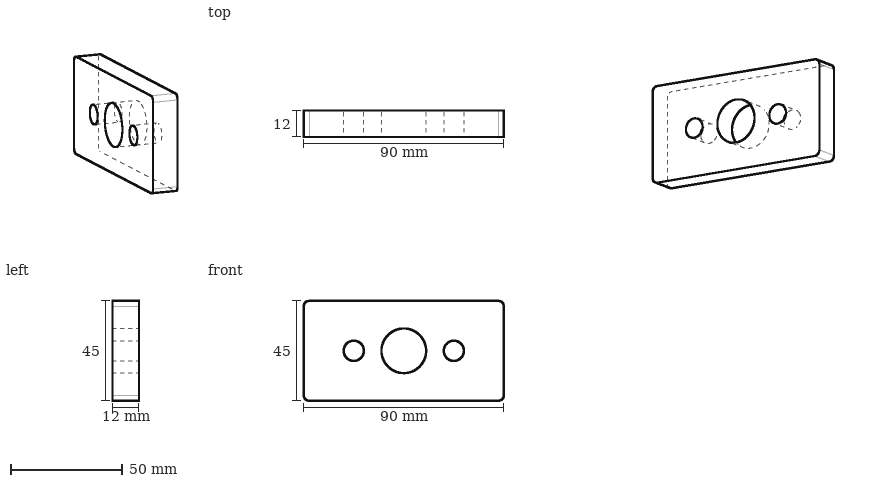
import cadquery as cq

length = 90.0
thickness = 12.0
height = 45.0
corner_radius = 2.5

center_hole_diameter = 20.0
side_hole_diameter = 9.0
side_hole_offset = length / 4


def rounded_plate():
    """Rectangular plate with its four corner edges rounded."""
    plate = cq.Workplane("XY").box(length, thickness, height)
    return plate.edges("|Y").fillet(corner_radius)


def cut_holes(plate):
    """Bore the central hole and the two side holes through the thickness."""
    side_positions = [(-side_hole_offset, 0), (side_hole_offset, 0)]
    plate = plate.faces("<Y").workplane(centerOption="CenterOfBoundBox").hole(center_hole_diameter)
    plate = plate.faces("<Y").workplane(centerOption="CenterOfBoundBox")
    return plate.pushPoints(side_positions).hole(side_hole_diameter)


result = cut_holes(rounded_plate())